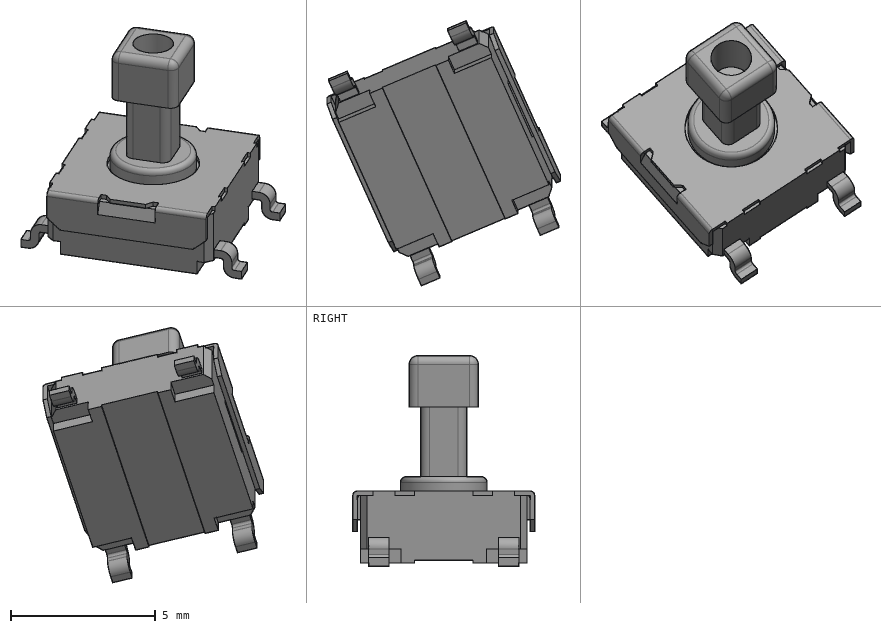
import cadquery as cq

body_bottom = 0.11
body_top = 2.45
notch_top = 0.6
lead_top = 1.0
skirt_bottom = 1.2
nub_bottom = 1.61
nub_slope_start = 2.02
collar_top = 3.1
cap_bottom = 5.51
cap_top = 7.3

body_length = 6.0
body_width = 5.78
corner_x = 0.26
corner_y = 0.23
notch_x = 0.52
notch_y = 1.4
relief_width = 2.02
relief_depth = 0.1

sheet = 0.16
cover_top = body_top + sheet
cover_length = 5.78
cover_width = 6.3
skirt_corner_x = 0.48
skirt_corner_z = 0.42
cover_hole_diameter = 3.2
center_tab_width = 2.02
side_tab_width = 0.76
side_tab_y = 2.07

nub_length = 2.08
nub_slope_run = 0.2
window_depth = 0.4
tongue_root = 1.7
tongue_tip = 1.28

lead_span = 8.0
lead_width = 0.7
lead_y = 2.25
lead_sheet = 0.3
lead_outer_x = 3.65
bend_inner = 0.1
bend_outer = bend_inner + lead_sheet

collar_diameter = 3.0
collar_fillet = 0.2
stem_side = 1.6
cap_side = 2.4
plunger_fillet = 0.3
cap_hole_diameter = 1.4
cap_hole_depth = cap_top - cap_bottom


def block(length, width, bottom, top, x=0, y=0):
    """Box centred on (x, y) between two heights."""
    box = cq.Workplane("XY").box(length, width, top - bottom, centered=(True, True, False))
    return box.translate((x, y, bottom))


def make_body():
    """Moulded base with cut corners, foot notches and a shallow relief underneath."""
    half_x = body_length / 2
    half_y = body_width / 2
    body = block(body_length, body_width, body_bottom, body_top)
    for sx in (-1, 1):
        for sy in (-1, 1):
            corner = (
                cq.Workplane("XY", origin=(0, 0, body_bottom))
                .moveTo(sx * half_x, sy * half_y)
                .lineTo(sx * (half_x - corner_x), sy * half_y)
                .lineTo(sx * half_x, sy * (half_y - corner_y))
                .close()
                .extrude(body_top - body_bottom)
            )
            notch_center = (sx * (half_x - notch_x / 2), sy * (half_y - notch_y / 2))
            notch = block(notch_x, notch_y, body_bottom, notch_top, *notch_center)
            body = body.cut(corner).cut(notch)
    return body.cut(block(body_length, relief_width, body_bottom, body_bottom + relief_depth))


def make_nub():
    """Snap nub on the -Y face, flush with the skirt and sloped on top."""
    outer = -cover_width / 2
    inner = -body_width / 2 + corner_y
    return (
        cq.Workplane("YZ")
        .moveTo(inner, nub_bottom)
        .lineTo(outer, nub_bottom)
        .lineTo(outer, nub_slope_start)
        .lineTo(outer + nub_slope_run, body_top)
        .lineTo(inner, body_top)
        .close()
        .extrude(nub_length / 2, both=True)
    )


def make_skirt_outline():
    """Prism along Y whose lower corners are cut off at a slant."""
    half = cover_length / 2
    return (
        cq.Workplane("XZ")
        .moveTo(-half, cover_top)
        .lineTo(half, cover_top)
        .lineTo(half, skirt_bottom + skirt_corner_z)
        .lineTo(half - skirt_corner_x, skirt_bottom)
        .lineTo(skirt_corner_x - half, skirt_bottom)
        .lineTo(-half, skirt_bottom + skirt_corner_z)
        .close()
        .extrude(cover_width / 2, both=True)
    )


def make_cover_shell():
    """Top plate bent down into a skirt along each Y side, with edge tabs and the plunger hole."""
    shell = block(cover_length, cover_width, skirt_bottom, cover_top)
    shell = shell.edges("|X and >Z").fillet(sheet)
    shell = shell.cut(block(cover_length, cover_width - 2 * sheet, skirt_bottom, body_top))
    shell = shell.intersect(make_skirt_outline())
    shell = shell.union(block(body_length, center_tab_width, body_top, cover_top))
    for y in (-side_tab_y, side_tab_y):
        shell = shell.union(block(body_length, side_tab_width, body_top, cover_top, y=y))
    plunger_hole = (
        cq.Workplane("XY", origin=(0, 0, body_top))
        .circle(cover_hole_diameter / 2)
        .extrude(sheet)
    )
    return shell.cut(plunger_hole)


def make_window():
    """Opening in the -Y skirt and plate edge that leaves a tapered tongue of plate."""
    outer = -cover_width / 2
    inner = outer + window_depth
    tongue = (
        cq.Workplane("XY", origin=(0, 0, body_top))
        .moveTo(-tongue_root / 2, inner)
        .lineTo(-tongue_tip / 2, outer + sheet)
        .lineTo(tongue_tip / 2, outer + sheet)
        .lineTo(tongue_root / 2, inner)
        .close()
        .extrude(sheet)
    )
    opening = block(nub_length, window_depth, nub_bottom, cover_top, y=outer + window_depth / 2)
    return opening.cut(tongue)


def make_lead():
    """S-bent lead on the +X side at Y = 0, starting at the body wall."""
    wall = body_length / 2
    tip = lead_span / 2
    inner_x = lead_outer_x - lead_sheet
    profile = (
        cq.Workplane("XZ")
        .moveTo(wall, lead_top)
        .lineTo(lead_outer_x - bend_outer, lead_top)
        .radiusArc((lead_outer_x, lead_top - bend_outer), bend_outer)
        .lineTo(lead_outer_x, bend_outer)
        .radiusArc((lead_outer_x + bend_inner, lead_sheet), -bend_inner)
        .lineTo(tip, lead_sheet)
        .lineTo(tip, 0)
        .lineTo(inner_x + bend_outer, 0)
        .radiusArc((inner_x, bend_outer), bend_outer)
        .lineTo(inner_x, lead_top - bend_outer)
        .radiusArc((inner_x - bend_inner, lead_top - lead_sheet), -bend_inner)
        .lineTo(wall, lead_top - lead_sheet)
        .close()
    )
    return profile.extrude(lead_width / 2, both=True)


def make_plunger():
    """Round collar, square stem and rounded cap with a blind hole in its top."""
    collar = (
        cq.Workplane("XY", origin=(0, 0, body_top))
        .circle(collar_diameter / 2)
        .extrude(collar_top - body_top)
        .faces(">Z")
        .edges()
        .fillet(collar_fillet)
    )
    stem = block(stem_side, stem_side, collar_top, cap_bottom).edges("|Z").fillet(plunger_fillet)
    cap = block(cap_side, cap_side, cap_bottom, cap_top)
    cap = cap.edges("|Z or >Z").fillet(plunger_fillet)
    hole = (
        cq.Workplane("XY", origin=(0, 0, cap_top))
        .circle(cap_hole_diameter / 2)
        .extrude(-cap_hole_depth)
    )
    return collar.union(stem).union(cap).cut(hole)


body = make_body()
cover = make_cover_shell()

for turn in (0, 180):
    body = body.union(make_nub().rotate((0, 0, 0), (0, 0, 1), turn))
    cover = cover.cut(make_window().rotate((0, 0, 0), (0, 0, 1), turn))

result = body.union(cover).union(make_plunger())

for turn in (0, 180):
    for y in (-lead_y, lead_y):
        lead = make_lead().translate((0, y, 0)).rotate((0, 0, 0), (0, 0, 1), turn)
        result = result.union(lead)